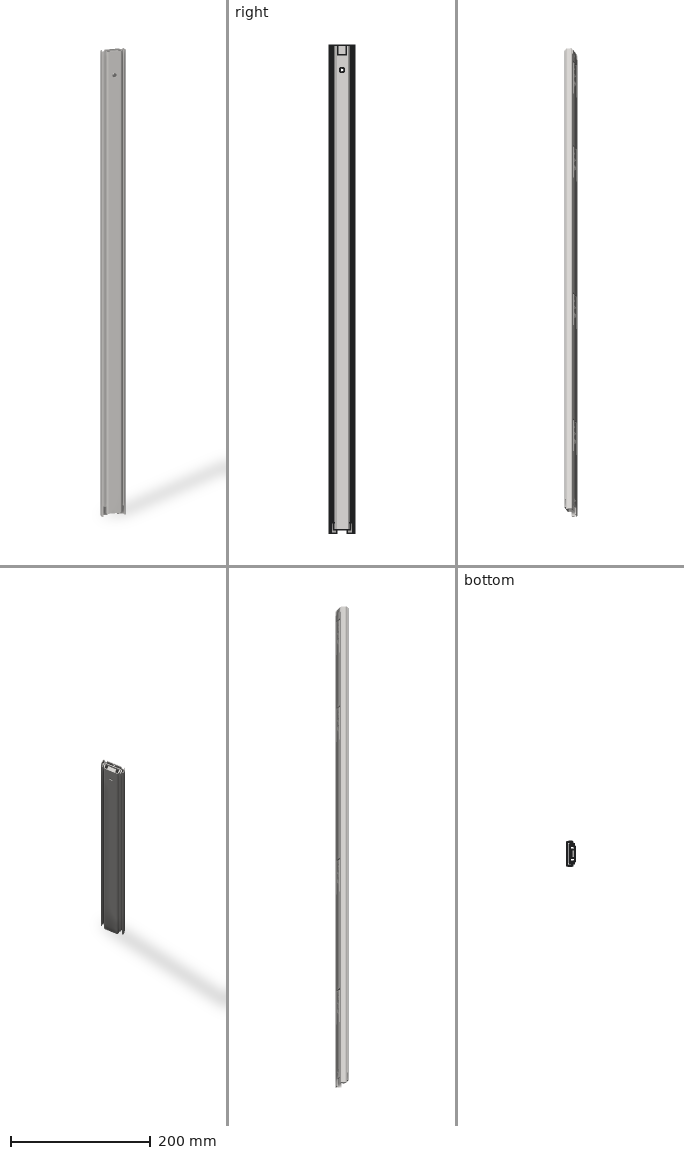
import cadquery as cq


LENGTH = 700
HALF_DEPTH = 6.4
SHEET = 1.05

OUTER_HALF_WIDTH = 17.5
OUTER_TRACK_X = -3.0
TRACK_BULGE = 0.4
OUTER_TIP_HALF_WIDTH = 17.0
OUTER_TIP_X = 2.25
OUTER_CORNER = 2.0

MIDDLE_WEB_X = -2.25
MIDDLE_TIP_X = 4.55
MIDDLE_WIDTH = 29.0
MIDDLE_CORNER = 2.0
MIDDLE_BOTTOM = 15.5

INNER_TIP_X = -0.35
INNER_WIDTH = 23.0
INNER_CORNER = 3.0
INNER_BOTTOM = 5.25

CAGE_THICKNESS = 1.0
OUTER_CAGE_X = (0, 2.0)
INNER_CAGE_X = (0, 3.5)

LATCH_HALF_WIDTH = 6.0
LATCH_X = 1.0
LATCH_LENGTH = 14

FIRST_TAB_TOP = 684.0
TAB_DROPS = (0, 128.0, 352.0, 544.0)
TAB_TOPS = [FIRST_TAB_TOP - drop for drop in TAB_DROPS]
TAB_WIDTH = 19.5
TAB_HEIGHT = 50.0
SLOT_WIDTH = 2.0
PILOT_DIAMETER = 3.5
PILOT_DROP = 10.0
SCREW_DIAMETER = 6.0
SCREW_DROP = 19.5
OBLONG_LENGTH = 9.0
OBLONG_DROP = 31.5
PILOT_TAB = 2

BOTTOM_HOLE_Z = 19.0
BOTTOM_NOTCH_WIDTH = 15.0
BOTTOM_NOTCH_HEIGHT = 10.0
TOP_HOLE_DIAMETER = 5.0
TOP_HOLE_DROP = 5.5
TOP_NOTCH_Y = 13.0
TOP_NOTCH_WIDTH = 4.0
TOP_NOTCH_DEPTH = 7


def web_box(width, bottom, top, y=0):
    """Cutter across the outer rail's web."""
    return (
        cq.Workplane("XY", origin=(-HALF_DEPTH, y, bottom))
        .box(2 * SHEET, width, top - bottom, centered=(True, True, False))
    )


def x_plane(start_x, z):
    """Sketch plane facing +X, with its local X along Y and local Y along Z."""
    return cq.Workplane("YZ", origin=(start_x, 0, z))


def drill(diameter, z, start_x=-HALF_DEPTH, depth=SHEET):
    """Round hole cutter running toward +X."""
    return x_plane(start_x, z).circle(diameter / 2).extrude(depth)


def channel(web_x, tip_x, half_width, corner, bottom):
    """C-shaped rail from its web's outside face to its flange tips."""
    toward_tip = 1 if tip_x > web_x else -1
    outline = [
        (tip_x, half_width),
        (web_x, half_width),
        (web_x, -half_width),
        (tip_x, -half_width),
    ]
    inner_half = half_width - SHEET
    inner_web_x = web_x + toward_tip * SHEET
    hollow = [
        (tip_x, inner_half),
        (inner_web_x, inner_half),
        (inner_web_x, -inner_half),
        (tip_x, -inner_half),
    ]
    web_side = "<X" if toward_tip > 0 else ">X"
    height = LENGTH - bottom

    def rounded(points, radius):
        block = cq.Workplane("XY", origin=(0, 0, bottom)).polyline(points).close().extrude(height)
        return block.faces(web_side).edges("|Z").fillet(radius)

    return rounded(outline, corner).cut(rounded(hollow, corner - SHEET))


def outer_section(inset):
    """Closed section of the outer rail's outside, moved inward by the inset."""
    web_x = -HALF_DEPTH + inset
    flange_y = OUTER_HALF_WIDTH - inset
    crest_y = flange_y + TRACK_BULGE
    tip_y = OUTER_TIP_HALF_WIDTH - inset
    radius = OUTER_CORNER - inset
    corner_x = web_x + radius
    crest_x = (OUTER_TRACK_X + OUTER_TIP_X) / 2
    corner_y = flange_y - radius
    mid_arc = radius * (1 - 0.5 ** 0.5)
    return (
        cq.Workplane("XY")
        .moveTo(OUTER_TIP_X, tip_y)
        .threePointArc((crest_x, crest_y), (OUTER_TRACK_X, flange_y))
        .lineTo(corner_x, flange_y)
        .threePointArc((web_x + mid_arc, flange_y - mid_arc), (web_x, corner_y))
        .lineTo(web_x, -corner_y)
        .threePointArc((web_x + mid_arc, mid_arc - flange_y), (corner_x, -flange_y))
        .lineTo(OUTER_TRACK_X, -flange_y)
        .threePointArc((crest_x, -crest_y), (OUTER_TIP_X, -tip_y))
        .close()
        .extrude(LENGTH)
    )


def cut_tab(rail, top):
    """Cut one fixing tab: its U slot, pilot hole, screw hole and oblong hole."""
    tongue_width = TAB_WIDTH - 2 * SLOT_WIDTH
    bottom = top - TAB_HEIGHT
    slot = web_box(TAB_WIDTH, bottom, top).cut(web_box(tongue_width, bottom, top - SLOT_WIDTH))
    oblong = (
        x_plane(-HALF_DEPTH, top - OBLONG_DROP)
        .slot2D(OBLONG_LENGTH, SCREW_DIAMETER, 90)
        .extrude(SHEET)
    )
    rail = rail.cut(slot).cut(oblong)
    rail = rail.cut(drill(PILOT_DIAMETER, top - PILOT_DROP))
    return rail.cut(drill(SCREW_DIAMETER, top - SCREW_DROP))


def make_outer_rail():
    rail = outer_section(0).cut(outer_section(SHEET))
    for top in TAB_TOPS:
        rail = cut_tab(rail, top)
    rail = rail.cut(drill(SCREW_DIAMETER, BOTTOM_HOLE_Z))
    rail = rail.cut(web_box(BOTTOM_NOTCH_WIDTH, 0, BOTTOM_NOTCH_HEIGHT))
    rail = rail.cut(drill(TOP_HOLE_DIAMETER, LENGTH - TOP_HOLE_DROP))
    for side in (-1, 1):
        rail = rail.cut(web_box(TOP_NOTCH_WIDTH, LENGTH - TOP_NOTCH_DEPTH, LENGTH, side * TOP_NOTCH_Y))
    return rail


def access_hole():
    """Cutter through the middle and inner rails, behind the first tab's screw hole."""
    return drill(SCREW_DIAMETER, FIRST_TAB_TOP - SCREW_DROP, MIDDLE_WEB_X, HALF_DEPTH - MIDDLE_WEB_X)


def make_middle_rail():
    rail = channel(MIDDLE_WEB_X, MIDDLE_TIP_X, MIDDLE_WIDTH / 2, MIDDLE_CORNER, MIDDLE_BOTTOM)
    pilot = drill(PILOT_DIAMETER, TAB_TOPS[PILOT_TAB] - SCREW_DROP, MIDDLE_WEB_X)
    return rail.cut(access_hole()).cut(pilot)


def make_inner_rail():
    rail = channel(HALF_DEPTH, INNER_TIP_X, INNER_WIDTH / 2, INNER_CORNER, INNER_BOTTOM)
    return rail.cut(access_hole())


def make_cage(x_range, flange_y, side):
    """Ball cage strip lying on the outside of a flange at the given half width."""
    start_x, end_x = x_range
    centre = ((start_x + end_x) / 2, side * (flange_y + CAGE_THICKNESS / 2), MIDDLE_BOTTOM)
    return (
        cq.Workplane("XY", origin=centre)
        .box(end_x - start_x, CAGE_THICKNESS, LENGTH - MIDDLE_BOTTOM, centered=(True, True, False))
    )


def make_latch():
    depth = HALF_DEPTH - SHEET - LATCH_X
    return (
        cq.Workplane("XY", origin=(LATCH_X, 0, LENGTH - LATCH_LENGTH))
        .box(depth, 2 * LATCH_HALF_WIDTH, LATCH_LENGTH, centered=(False, True, False))
    )


outer_rail = make_outer_rail()
middle_rail = make_middle_rail()
inner_rail = make_inner_rail()
outer_cages = [make_cage(OUTER_CAGE_X, MIDDLE_WIDTH / 2, side) for side in (-1, 1)]
inner_cages = [make_cage(INNER_CAGE_X, INNER_WIDTH / 2, side) for side in (-1, 1)]
latch = make_latch()

result = cq.Compound.makeCompound([
    outer_rail.val(),
    middle_rail.val(),
    inner_rail.val(),
    *[cage.val() for cage in outer_cages],
    *[cage.val() for cage in inner_cages],
    latch.val(),
])